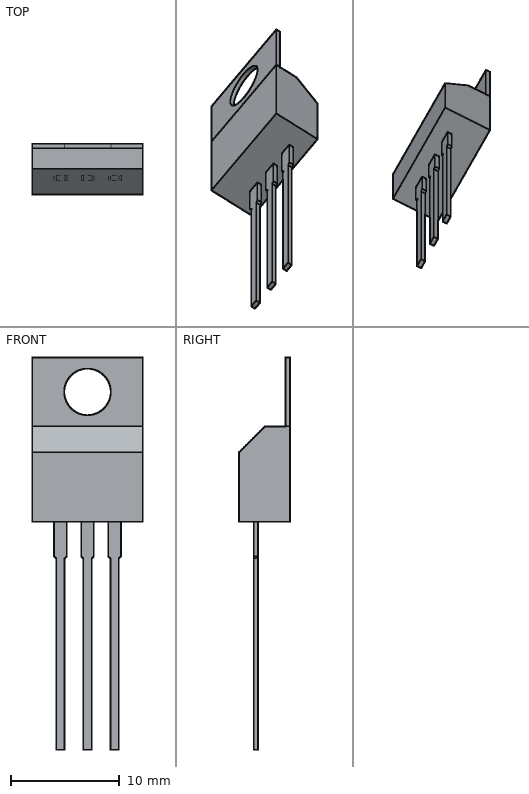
import cadquery as cq

TOTAL_HEIGHT = 36.07
WIDTH = 10.17
HOUSING_DEPTH = 4.7

TAB_HEIGHT = 6.35
TAB_THICKNESS = 0.45
HOLE_DIAMETER = 4.25

HOUSING_HEIGHT = 8.75
BEVEL = 2.38

LEAD_COUNT = 3
LEAD_PITCH = 2.5
LEAD_THICKNESS = 0.45
LEAD_BACK_OFFSET = 2.92
SHOULDER_WIDTH = 1.2
SHOULDER_LENGTH = 3.17
PIN_WIDTH = 0.8

HOUSING_TOP = TOTAL_HEIGHT - TAB_HEIGHT
HOUSING_BOTTOM = HOUSING_TOP - HOUSING_HEIGHT


def make_housing():
    """Side profile in the YZ plane, extruded across the width."""
    profile = [
        (0, HOUSING_BOTTOM),
        (0, HOUSING_TOP),
        (-HOUSING_DEPTH + BEVEL, HOUSING_TOP),
        (-HOUSING_DEPTH, HOUSING_TOP - BEVEL),
        (-HOUSING_DEPTH, HOUSING_BOTTOM),
    ]
    return cq.Workplane("YZ").polyline(profile).close().extrude(WIDTH / 2, both=True)


def make_tab():
    """Flat plate with a mounting hole through its centre."""
    return (
        cq.Workplane("XZ", origin=(0, 0, HOUSING_TOP + TAB_HEIGHT / 2))
        .rect(WIDTH, TAB_HEIGHT)
        .circle(HOLE_DIAMETER / 2)
        .extrude(TAB_THICKNESS)
    )


def make_lead(x_center):
    """Stepped flat lead hanging from the underside of the housing."""
    half_shoulder = SHOULDER_WIDTH / 2
    half_pin = PIN_WIDTH / 2
    shoulder_end = HOUSING_BOTTOM - SHOULDER_LENGTH
    taper_end = shoulder_end - (half_shoulder - half_pin)
    outline = [
        (-half_shoulder, HOUSING_BOTTOM),
        (half_shoulder, HOUSING_BOTTOM),
        (half_shoulder, shoulder_end),
        (half_pin, taper_end),
        (half_pin, 0),
        (-half_pin, 0),
        (-half_pin, taper_end),
        (-half_shoulder, shoulder_end),
    ]
    return (
        cq.Workplane("XZ", origin=(x_center, -LEAD_BACK_OFFSET, 0))
        .polyline(outline)
        .close()
        .extrude(LEAD_THICKNESS)
    )


housing = make_housing()
tab = make_tab()
first_lead_x = -LEAD_PITCH * (LEAD_COUNT - 1) / 2
leads = [make_lead(first_lead_x + i * LEAD_PITCH) for i in range(LEAD_COUNT)]

result = cq.Compound.makeCompound(
    [housing.val(), tab.val(), *[lead.val() for lead in leads]]
)